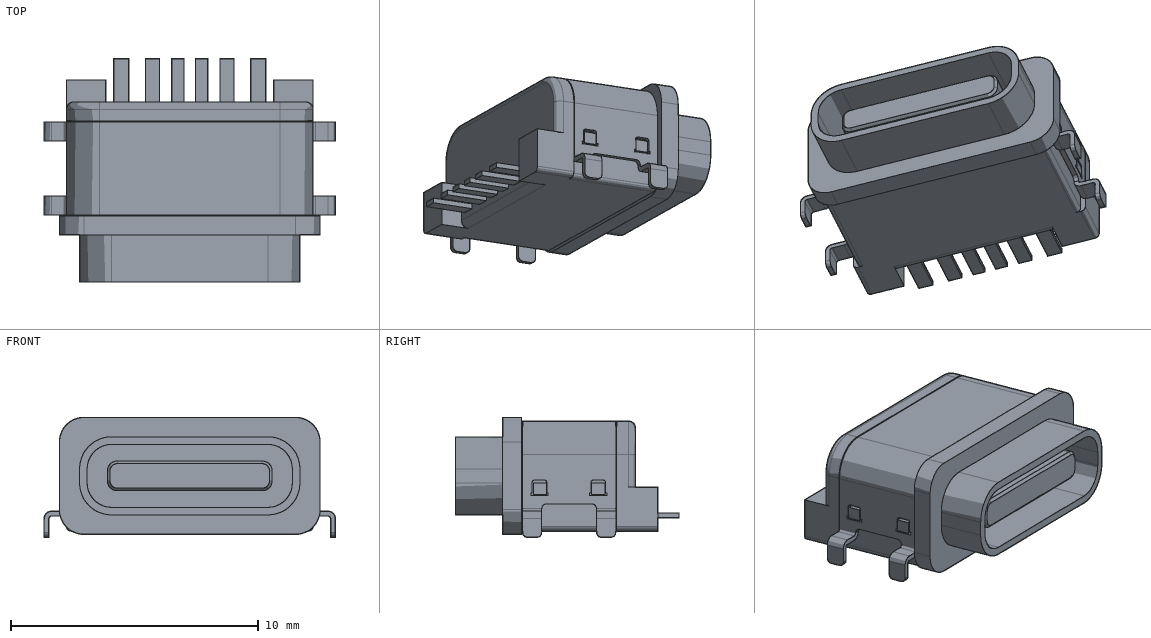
import cadquery as cq

LENGTH = 11.8
DEPTH = 9.05
SOCKET_AXIS_Z = 2.49
OVERLAP = 0.12

flange_front = 1.91
flange_back = 2.68
shell_gap = 0.04
shell_front = flange_back + shell_gap
shell_back = 6.49
rear_front = shell_back + shell_gap
housing_back = 7.29
foot_back = 8.19

collar_width = 8.92
collar_height = 3.16
collar_radius = 1.3
collar_wall = 0.31
cavity_depth = 6.14
flange_width = 10.56
flange_height = 4.74
flange_radius = 1.0
tongue_width = 6.67
tongue_height = 1.2
tongue_radius = 0.4
tongue_chamfer = 0.11
tongue_tip = 0.5

housing_width = 9.98
housing_bottom = 0.25
housing_top = 4.71
housing_radius = 1.35
bottom_radius = 0.2
back_radius = 0.3
sheet = 0.2
core_width = housing_width - 2 * sheet
foot_width = 1.59
foot_top = 2.03

leg_width = 0.78
leg_top = 1.06
leg_tip_radius = 0.2
bend_inside = 0.11
bend_outside = bend_inside + sheet
wall_bottom = leg_top + bend_inside
arch_top = 1.36
arch_radius = 0.2

latch_window_width = 0.6
latch_window_bottom = 1.69
latch_window_top = 2.32
latch_window_radius = 0.12
latch_foot_height = 0.11
latch_foot_extra = 0.05
latch_block_width = 0.53
latch_block_bottom = 1.73
latch_block_top = 2.21
latch_play = 0.01
front_latch_y = 3.4
rear_latch_y = 5.78
front_block_y = front_latch_y + (latch_window_width - latch_block_width) / 2 - latch_play
latches = [(front_latch_y, front_block_y), (rear_latch_y, rear_latch_y)]

tails = [(0.48, 0.51), (1.51, 0.58), (2.77, 0.61)]
tail_bottom = 0.79
tail_thickness = 0.2


def block(x_range, y_range, z_range):
    """Plain box between the given limits."""
    (x0, x1), (y0, y1), (z0, z1) = x_range, y_range, z_range
    return cq.Workplane("XY").box(x1 - x0, y1 - y0, z1 - z0, centered=False).translate((x0, y0, z0))


def rounded_bar(width, height, radius, y0, y1):
    """Bar along Y on the socket axis with four equally rounded corners."""
    z_range = (SOCKET_AXIS_Z - height / 2, SOCKET_AXIS_Z + height / 2)
    bar = block((-width / 2, width / 2), (y0, y1), z_range)
    return bar.edges("|Y").fillet(radius)


def housing_bar(width, top, top_radius, y0, y1):
    """Bar along Y with large top corners and small bottom corners."""
    bar = block((-width / 2, width / 2), (y0, y1), (housing_bottom, top))
    return bar.edges("|Y and >Z").fillet(top_radius).edges("|Y and <Z").fillet(bottom_radius)


def both_sides(body):
    """The body together with its mirror image across X = 0."""
    return body.union(body.mirror("YZ"))


def make_socket():
    """Solid plug collar passing through the mounting flange."""
    flange = rounded_bar(flange_width, flange_height, flange_radius, flange_front, flange_back)
    collar = rounded_bar(collar_width, collar_height, collar_radius, 0, flange_back)
    return collar.union(flange)


def make_cavity():
    """Plug cavity, open at the front."""
    width = collar_width - 2 * collar_wall
    height = collar_height - 2 * collar_wall
    return rounded_bar(width, height, collar_radius - collar_wall, 0, cavity_depth)


def make_tongue():
    """Contact tongue standing on the cavity floor, chamfered at its tip."""
    tongue = rounded_bar(tongue_width, tongue_height, tongue_radius, tongue_tip, cavity_depth + OVERLAP)
    return tongue.faces("<Y").chamfer(tongue_chamfer)


def make_housing():
    """Core under the shell, full-size rear part with a rounded back edge, and two rear feet."""
    core_top = housing_top - sheet
    core_radius = housing_radius - sheet
    core = housing_bar(core_width, core_top, core_radius, flange_back - OVERLAP, rear_front + OVERLAP)
    rear = housing_bar(housing_width, housing_top, housing_radius, rear_front, housing_back)
    rear = rear.faces(">Y").edges("not <Z").fillet(back_radius)
    half_width = housing_width / 2
    foot = block((half_width - foot_width, half_width), (rear_front, foot_back), (housing_bottom, foot_top))
    foot = foot.edges("|Y and >X and <Z").fillet(bottom_radius)
    return core.union(rear).union(both_sides(foot))


def make_leg(y0):
    """Right-hand leg: sheet bent outward from the shell wall and then down to the board."""
    outer = LENGTH / 2
    wall_outside = housing_width / 2
    wall_inside = wall_outside - sheet
    leg_inside = outer - sheet
    leg_underside = leg_top - sheet
    outline = (
        cq.Workplane("XZ", origin=(0, y0, 0))
        .moveTo(wall_inside, arch_top)
        .lineTo(wall_inside, wall_bottom)
        .tangentArcPoint((wall_outside + bend_inside, leg_underside), relative=False)
        .lineTo(leg_inside - bend_inside, leg_underside)
        .tangentArcPoint((leg_inside, leg_underside - bend_inside), relative=False)
        .lineTo(leg_inside, 0)
        .lineTo(outer, 0)
        .lineTo(outer, leg_top - bend_outside)
        .tangentArcPoint((outer - bend_outside, leg_top), relative=False)
        .lineTo(wall_outside + bend_inside, leg_top)
        .tangentArcPoint((wall_outside, wall_bottom), relative=False)
        .lineTo(wall_outside, arch_top)
        .close()
    )
    return outline.extrude(-leg_width).edges("|X and <Z").fillet(leg_tip_radius)


def make_latch_window(centre):
    """T-shaped opening through the right-hand shell wall."""
    x_range = (housing_width / 2 - sheet, housing_width / 2)
    half = latch_window_width / 2
    foot_half = half + latch_foot_extra
    foot_top_z = latch_window_bottom + latch_foot_height
    window = block(x_range, (centre - half, centre + half), (latch_window_bottom, latch_window_top))
    window = window.edges("|X and >Z").fillet(latch_window_radius)
    return window.union(
        block(x_range, (centre - foot_half, centre + foot_half), (latch_window_bottom, foot_top_z))
    )


def make_latch_block(centre):
    """Housing block that fills the right-hand latch window, flush with the shell."""
    half = latch_block_width / 2
    x_range = (core_width / 2 - OVERLAP, housing_width / 2)
    return block(x_range, (centre - half, centre + half), (latch_block_bottom, latch_block_top))


def make_shell():
    """Sheet cover over the top and sides of the core, with arches, legs and latch windows."""
    shell = housing_bar(housing_width, housing_top, housing_radius, shell_front, shell_back)
    inside = housing_bar(core_width, housing_top - sheet, housing_radius - sheet, shell_front, shell_back)
    half_width = housing_width / 2
    below = block((-half_width, half_width), (shell_front, shell_back), (housing_bottom, wall_bottom))
    rear_leg_front = shell_back - leg_width
    arch_span = (shell_front + leg_width, rear_leg_front)
    arch = block((-half_width, half_width), arch_span, (housing_bottom, arch_top))
    arch = arch.edges("|X and >Z").fillet(arch_radius)
    shell = shell.cut(inside).cut(below).cut(arch)
    for leg_front in (shell_front, rear_leg_front):
        shell = shell.union(both_sides(make_leg(leg_front)))
    for window_centre, _ in latches:
        shell = shell.cut(both_sides(make_latch_window(window_centre)))
    return shell


def make_tail(x, width):
    """Flat solder tail leaving the back of the housing."""
    z_range = (tail_bottom, tail_bottom + tail_thickness)
    return block((x - width / 2, x + width / 2), (housing_back - OVERLAP, DEPTH), z_range)


result = make_socket().union(make_housing()).cut(make_cavity()).union(make_tongue()).union(make_shell())
for _, block_centre in latches:
    result = result.union(both_sides(make_latch_block(block_centre)))
for tail_x, tail_width in tails:
    result = result.union(both_sides(make_tail(tail_x, tail_width)))